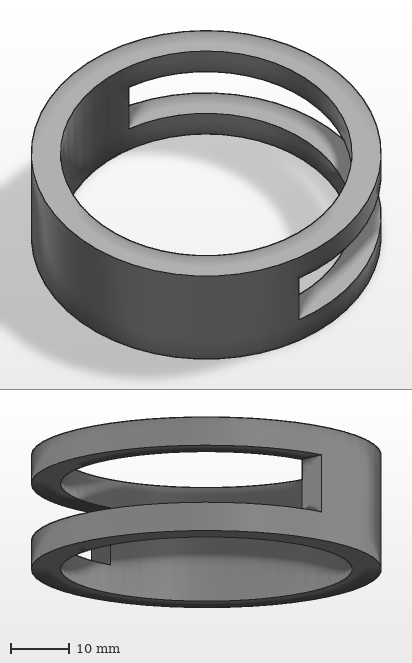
import cadquery as cq

outer_diameter = 60.0
bore_diameter = 50.0
height = 20.0
rim_height = 5.0

window_height = height - 2 * rim_height


def ring():
    """Plain ring standing on the XY plane, centred on the Z axis."""
    return (
        cq.Workplane("XY")
        .circle(outer_diameter / 2)
        .circle(bore_diameter / 2)
        .extrude(height)
    )


def window():
    """Block that opens the wall over the whole +Y half, between the two rims."""
    return (
        cq.Workplane("XY")
        .workplane(offset=rim_height)
        .box(outer_diameter, outer_diameter, window_height, centered=(True, False, False))
    )


result = ring().cut(window())